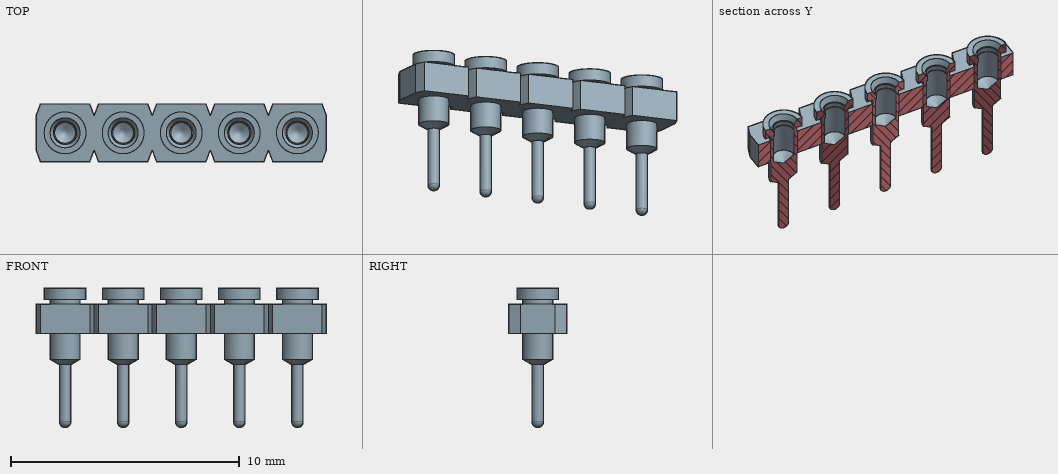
import cadquery as cq
import math

PIN_COUNT = 5
STRIP_LENGTH = 12.7
PITCH = STRIP_LENGTH / PIN_COUNT
STRIP_WIDTH = 2.54
PIN_HEIGHT = 6.1

HOUSING_HEIGHT = 1.3
HOUSING_TOP_DROP = 0.7
HOUSING_TOP = PIN_HEIGHT - HOUSING_TOP_DROP
HOUSING_BOTTOM = HOUSING_TOP - HOUSING_HEIGHT
NOTCH_HALF_WIDTH = 0.19
NOTCH_DEPTH = 0.51

FLANGE_RADIUS = 1.83 / 2
FLANGE_HEIGHT = 0.51
FLANGE_BOTTOM = PIN_HEIGHT - FLANGE_HEIGHT
BARREL_RADIUS = 1.32 / 2
TAIL_RADIUS = 0.51 / 2
BARREL_BOTTOM = 2.98
TAPER_ANGLE = 120.0
TAPER_HEIGHT = (BARREL_RADIUS - TAIL_RADIUS) / math.tan(math.radians(TAPER_ANGLE / 2))
TAIL_TOP = BARREL_BOTTOM - TAPER_HEIGHT

COUNTERSINK_DEPTH = 0.25
COUNTERSINK_ANGLE = 60.0
COUNTERSINK_FLOOR = PIN_HEIGHT - COUNTERSINK_DEPTH
COLLAR_RADIUS = 0.91 / 2
COLLAR_BOTTOM = FLANGE_BOTTOM
BORE_RADIUS = 1.02 / 2
COUNTERSINK_RADIUS = BORE_RADIUS + COUNTERSINK_DEPTH * math.tan(math.radians(COUNTERSINK_ANGLE / 2))
BORE_FLOOR = HOUSING_BOTTOM
DRILL_POINT_ANGLE = 120.0
DRILL_POINT_HEIGHT = BORE_RADIUS / math.tan(math.radians(DRILL_POINT_ANGLE / 2))


def make_housing(pin_positions):
    """Strip with bevelled ends, V notches between the cells and a hole for each pin."""
    half_width = STRIP_WIDTH / 2
    half_pitch = PITCH / 2
    cell_outline = [
        (-half_pitch, -half_width + NOTCH_DEPTH),
        (-half_pitch + NOTCH_HALF_WIDTH, -half_width),
        (half_pitch - NOTCH_HALF_WIDTH, -half_width),
        (half_pitch, -half_width + NOTCH_DEPTH),
        (half_pitch, half_width - NOTCH_DEPTH),
        (half_pitch - NOTCH_HALF_WIDTH, half_width),
        (-half_pitch + NOTCH_HALF_WIDTH, half_width),
        (-half_pitch, half_width - NOTCH_DEPTH),
    ]
    base = cq.Workplane("XY", origin=(0, 0, HOUSING_BOTTOM))
    cell = base.polyline(cell_outline).close().extrude(HOUSING_HEIGHT)
    strip = cq.Workplane("XY")
    for x in pin_positions:
        strip = strip.union(cell.translate((x, 0, 0)))
    holes = base.pushPoints([(x, 0) for x in pin_positions]).circle(BARREL_RADIUS).extrude(HOUSING_HEIGHT)
    return strip.clean().cut(holes)


def make_pin(x):
    """Turned pin with a flanged, blind socket, a tapered barrel and a round-tipped tail."""
    tip_arc_middle = (TAIL_RADIUS * math.sin(math.pi / 4), TAIL_RADIUS * (1 - math.cos(math.pi / 4)))
    profile = (
        cq.Workplane("XZ")
        .moveTo(0, 0)
        .threePointArc(tip_arc_middle, (TAIL_RADIUS, TAIL_RADIUS))
        .lineTo(TAIL_RADIUS, TAIL_TOP)
        .lineTo(BARREL_RADIUS, BARREL_BOTTOM)
        .lineTo(BARREL_RADIUS, FLANGE_BOTTOM)
        .lineTo(FLANGE_RADIUS, FLANGE_BOTTOM)
        .lineTo(FLANGE_RADIUS, PIN_HEIGHT)
        .lineTo(COUNTERSINK_RADIUS, PIN_HEIGHT)
        .lineTo(BORE_RADIUS, COUNTERSINK_FLOOR)
        .lineTo(COLLAR_RADIUS, COUNTERSINK_FLOOR)
        .lineTo(COLLAR_RADIUS, COLLAR_BOTTOM)
        .lineTo(BORE_RADIUS, COLLAR_BOTTOM)
        .lineTo(BORE_RADIUS, BORE_FLOOR)
        .lineTo(0, BORE_FLOOR - DRILL_POINT_HEIGHT)
        .close()
    )
    return profile.revolve(360, (0, 0, 0), (0, 1, 0)).translate((x, 0, 0))


pin_positions = [(index - (PIN_COUNT - 1) / 2) * PITCH for index in range(PIN_COUNT)]
housing = make_housing(pin_positions)
pins = [make_pin(x) for x in pin_positions]

result = cq.Compound.makeCompound([housing.val(), *[pin.val() for pin in pins]])